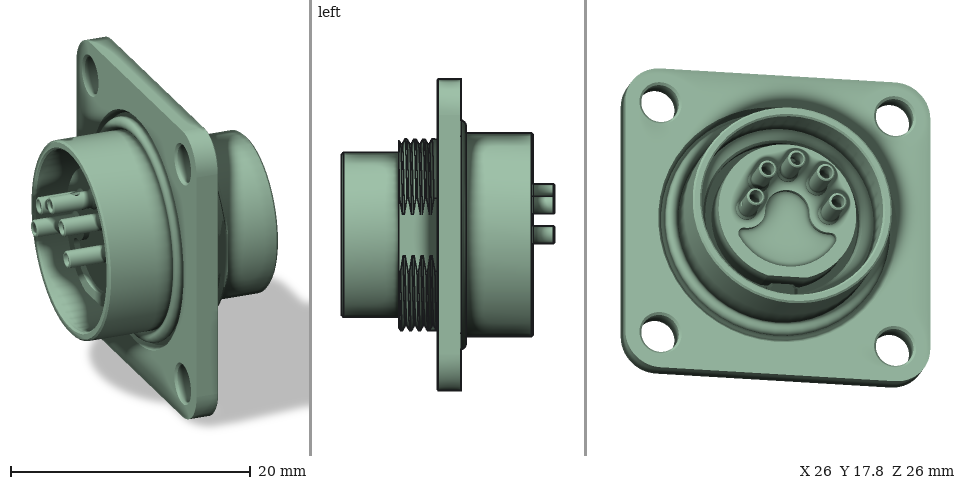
import cadquery as cq
import math


FLANGE_SIZE = 26.0
FLANGE_THICKNESS = 2.0
FLANGE_CORNER_RADIUS = 3.0
FLANGE_EDGE_CHAMFER = 0.1
MOUNT_HOLE_DIAMETER = 3.2
MOUNT_HOLE_SPACING = 20.0
MOUNT_HOLE_CHAMFER = 0.2

SHELL_RADIUS = 17.0 / 2
SHELL_BORE_RADIUS = 15.5 / 2
SHELL_FRONT_Y = -6.0
SHELL_OUTER_CHAMFER = 0.15
SHELL_INNER_CHAMFER = 0.15
BORE_FLOOR_Y = -2.0

RECESS_RADIUS = 6.58
RECESS_CHAMFER = 0.2
RECESS_FLOOR_Y = -1.0
KEY_WIDTH = 2.6
KEY_TOP_Z = -5.63
KEY_CORNER_CHAMFER = 0.35
KEY_FRONT_CHAMFER = 0.28

INSERT_RADIUS = 5.87
INSERT_FRONT_Y = -3.9
POCKET_DEPTH = 0.5
POCKET_OUTER_RADIUS = 4.75
POCKET_CENTRE_RADIUS = 1.9
POCKET_CORNER_RADIUS = 0.5

PIN_CIRCLE_RADIUS = 3.5
PIN_ANGLES = (0, 45, 90, 135, 180)
VENT_ANGLES = {90: 95, 180: 165}
PIN_RADIUS = 1.48 / 2
PIN_TIP_Y = -7.8
PIN_TIP_CHAMFER = 0.1
PIN_COLLAR_RADIUS = 1.82 / 2
PIN_COLLAR_HEIGHT = 0.1
PIN_COLLAR_TAPER = 0.25
SOLDER_BORE_RADIUS = 1.1 / 2
SOLDER_BORE_DEPTH = 2.7
SOLDER_BORE_CONE = 0.3
VENT_DIAMETER = 0.8
VENT_FROM_TIP = 2.3

GROOVE_RADIUS = 20.4 / 2
GROOVE_FLOOR_RADIUS = 9.85
GROOVE_DEPTH = 0.6
SEAL_SECTION_RADIUS = 1.1 / 2
SEAL_PROTRUSION = 0.42
SEAL_SQUEEZE = 0.02

THREAD_RADIUS = 16.0 / 2
THREAD_PITCH = 0.75
THREAD_DEPTH = 0.4
THREAD_HALF_ANGLE = 30.0
THREAD_ROOT_WIDTH = 0.15
THREAD_OVERCUT = 0.06
THREAD_END_Y = 5.2
THREAD_TURNS = 4.5
THREAD_START_Y = 2.355
FLAT_SPACING = 14.8
BARREL_RADIUS = 13.8 / 2
BARREL_REAR_Y = 10.0
BARREL_CHAMFER = 0.2


def revolved(profile):
    """Solid of revolution about Y from (radius, y) points."""
    return cq.Workplane("XY").polyline(profile).close().revolve(360, (0, 0), (0, 1))


def facing_front(y):
    """Sketch plane at the given Y, looking along +Y; extrusion runs toward -Y."""
    return cq.Workplane("XZ", origin=(0, y, 0))


def disc(radius, front_y, back_y):
    return facing_front(back_y).circle(radius).extrude(back_y - front_y)


def make_flange():
    plate = facing_front(FLANGE_THICKNESS).rect(FLANGE_SIZE, FLANGE_SIZE).extrude(FLANGE_THICKNESS)
    plate = plate.edges("|Y").fillet(FLANGE_CORNER_RADIUS)
    plate = plate.faces(">Y").edges().chamfer(FLANGE_EDGE_CHAMFER)
    hole_radius = MOUNT_HOLE_DIAMETER / 2
    wide_radius = hole_radius + MOUNT_HOLE_CHAMFER
    hole = revolved([
        (0, 0),
        (wide_radius, 0),
        (hole_radius, MOUNT_HOLE_CHAMFER),
        (hole_radius, FLANGE_THICKNESS),
        (0, FLANGE_THICKNESS),
    ])
    for x_side in (-1, 1):
        for z_side in (-1, 1):
            offset = MOUNT_HOLE_SPACING / 2
            plate = plate.cut(hole.translate((x_side * offset, 0, z_side * offset)))
    groove = revolved([
        (0, 0),
        (GROOVE_RADIUS, 0),
        (GROOVE_FLOOR_RADIUS, GROOVE_DEPTH),
        (0, GROOVE_DEPTH),
    ])
    return plate.cut(groove)


def make_shell():
    return revolved([
        (0, FLANGE_THICKNESS),
        (SHELL_RADIUS, FLANGE_THICKNESS),
        (SHELL_RADIUS, SHELL_FRONT_Y + SHELL_OUTER_CHAMFER),
        (SHELL_RADIUS - SHELL_OUTER_CHAMFER, SHELL_FRONT_Y),
        (SHELL_BORE_RADIUS + SHELL_INNER_CHAMFER, SHELL_FRONT_Y),
        (SHELL_BORE_RADIUS, SHELL_FRONT_Y + SHELL_INNER_CHAMFER),
        (SHELL_BORE_RADIUS, BORE_FLOOR_Y),
        (RECESS_RADIUS + RECESS_CHAMFER, BORE_FLOOR_Y),
        (RECESS_RADIUS, BORE_FLOOR_Y + RECESS_CHAMFER),
        (RECESS_RADIUS, RECESS_FLOOR_Y),
        (0, RECESS_FLOOR_Y),
    ])


def make_key():
    bottom_z = -(RECESS_RADIUS + SHELL_BORE_RADIUS) / 2
    height = KEY_TOP_Z - bottom_z
    key = (
        facing_front(0)
        .center(0, bottom_z + height / 2)
        .rect(KEY_WIDTH, height)
        .extrude(-BORE_FLOOR_Y)
    )
    key = key.edges("|Y and >Z").chamfer(KEY_CORNER_CHAMFER)
    front_edges = key.faces("<Y").edges("not <Z")
    return front_edges.chamfer(KEY_FRONT_CHAMFER)


def make_pocket():
    """Crescent pocket that clears the two outer pins."""
    floor_y = INSERT_FRONT_Y + POCKET_DEPTH
    clearance_radius = PIN_CIRCLE_RADIUS - POCKET_CENTRE_RADIUS
    bowl = disc(POCKET_OUTER_RADIUS, INSERT_FRONT_Y, floor_y)
    lower_half = (
        facing_front(floor_y)
        .center(0, -clearance_radius - POCKET_OUTER_RADIUS / 2)
        .rect(2 * POCKET_OUTER_RADIUS, POCKET_OUTER_RADIUS)
        .extrude(POCKET_DEPTH)
    )
    bowl = bowl.intersect(lower_half).edges("|Y").fillet(POCKET_CORNER_RADIUS)
    neck = (
        facing_front(floor_y)
        .moveTo(-PIN_CIRCLE_RADIUS, -clearance_radius)
        .radiusArc((-POCKET_CENTRE_RADIUS, 0), -clearance_radius)
        .radiusArc((POCKET_CENTRE_RADIUS, 0), POCKET_CENTRE_RADIUS)
        .radiusArc((PIN_CIRCLE_RADIUS, -clearance_radius), -clearance_radius)
        .close()
        .extrude(POCKET_DEPTH)
    )
    return bowl.union(neck)


def make_insert():
    insert = disc(INSERT_RADIUS, INSERT_FRONT_Y, 0)
    below_key = (
        facing_front(0)
        .center(0, KEY_TOP_Z - INSERT_RADIUS / 2)
        .rect(2 * INSERT_RADIUS, INSERT_RADIUS)
        .extrude(-INSERT_FRONT_Y)
    )
    return insert.cut(below_key).cut(make_pocket())


def make_pin(angle):
    """Hollow solder pin standing on the insert, with a tapered collar at its base."""
    collar_y = INSERT_FRONT_Y - PIN_COLLAR_HEIGHT
    bore_end_y = PIN_TIP_Y + SOLDER_BORE_DEPTH
    pin = revolved([
        (0, 0),
        (PIN_RADIUS, 0),
        (PIN_RADIUS, INSERT_FRONT_Y),
        (PIN_COLLAR_RADIUS, INSERT_FRONT_Y),
        (PIN_COLLAR_RADIUS, collar_y),
        (PIN_RADIUS, collar_y - PIN_COLLAR_TAPER),
        (PIN_RADIUS, PIN_TIP_Y + PIN_TIP_CHAMFER),
        (PIN_RADIUS - PIN_TIP_CHAMFER, PIN_TIP_Y),
        (SOLDER_BORE_RADIUS, PIN_TIP_Y),
        (SOLDER_BORE_RADIUS, bore_end_y),
        (0, bore_end_y + SOLDER_BORE_CONE),
    ])
    if angle in VENT_ANGLES:
        vent = (
            cq.Workplane("YZ", origin=(0, PIN_TIP_Y + VENT_FROM_TIP, 0))
            .circle(VENT_DIAMETER / 2)
            .extrude(2 * PIN_RADIUS)
            .rotate((0, 0, 0), (0, -1, 0), VENT_ANGLES[angle])
        )
        pin = pin.cut(vent)
    x = PIN_CIRCLE_RADIUS * math.cos(math.radians(angle))
    z = PIN_CIRCLE_RADIUS * math.sin(math.radians(angle))
    return pin.translate((x, 0, z))


def make_seal():
    ring_radius = SHELL_RADIUS + SEAL_SECTION_RADIUS - SEAL_SQUEEZE
    centre_y = SEAL_SECTION_RADIUS - SEAL_PROTRUSION
    return (
        cq.Workplane("XY")
        .center(ring_radius, centre_y)
        .circle(SEAL_SECTION_RADIUS)
        .revolve(360, (-ring_radius, 0), (-ring_radius, 1))
    )


def make_thread_cutter():
    """Right-handed helical groove around Z, starting at Z = 0 on the +Y side."""
    root_radius = THREAD_RADIUS - THREAD_DEPTH
    outer_radius = THREAD_RADIUS + THREAD_OVERCUT
    half_root = THREAD_ROOT_WIDTH / 2
    flank = (outer_radius - root_radius) * math.tan(math.radians(THREAD_HALF_ANGLE))
    helix = cq.Wire.makeHelix(THREAD_PITCH, THREAD_PITCH * THREAD_TURNS, root_radius)
    cutter = (
        cq.Workplane("XZ")
        .polyline([
            (root_radius, -half_root),
            (outer_radius, -half_root - flank),
            (outer_radius, half_root + flank),
            (root_radius, half_root),
        ])
        .close()
        .sweep(cq.Workplane(obj=helix), isFrenet=True)
    )
    return cutter.rotate((0, 0, 0), (0, 0, 1), 90)


def make_threaded_collar():
    """Collar with two flats, threaded along Z and then turned onto the Y axis."""
    length = THREAD_END_Y - FLANGE_THICKNESS
    collar = cq.Workplane("XY").circle(THREAD_RADIUS).extrude(length)
    between_flats = cq.Workplane("XY").rect(FLAT_SPACING, 2 * THREAD_RADIUS).extrude(length)
    groove = make_thread_cutter().translate((0, 0, THREAD_START_Y - FLANGE_THICKNESS))
    collar = collar.cut(groove).intersect(between_flats)
    return collar.rotate((0, 0, 0), (1, 0, 0), -90).translate((0, FLANGE_THICKNESS, 0))


def make_barrel():
    barrel = disc(BARREL_RADIUS, FLANGE_THICKNESS, BARREL_REAR_Y)
    return barrel.faces(">Y").edges().chamfer(BARREL_CHAMFER)


result = make_flange().union(make_shell()).union(make_key()).union(make_insert())
for pin_angle in PIN_ANGLES:
    result = result.union(make_pin(pin_angle))
result = result.union(make_seal()).union(make_threaded_collar()).union(make_barrel())